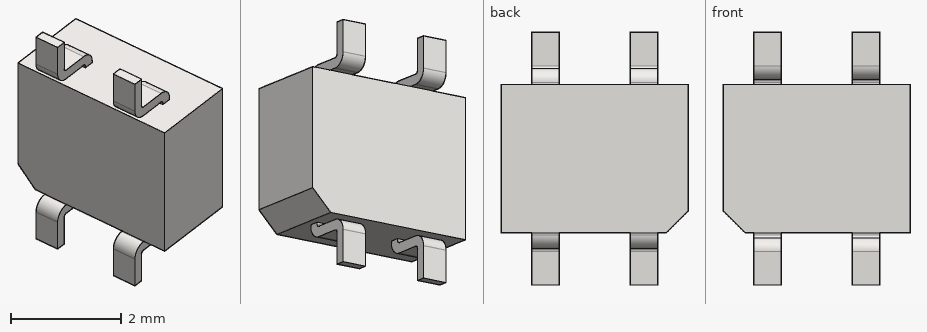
import cadquery as cq

overall_height = 4.6
overall_depth = 1.87

housing_width = 3.4
housing_depth = 1.7
housing_height = 2.7
bevel = 0.4

lead_width = 0.5
lead_thickness = 0.2
lead_pitch = 1.79
lead_reach = 1.015
lead_gap = 0.087
inner_bend_radius = 0.05
outer_bend_radius = inner_bend_radius + lead_thickness

half_height = housing_height / 2
foot_front = -overall_depth / 2
housing_front = foot_front + overall_depth - housing_depth
housing_back = housing_front + housing_depth
foot_back = foot_front + lead_thickness
stem_back = foot_front + lead_reach
stem_front = stem_back - lead_thickness
run_bottom = half_height + lead_gap
run_top = run_bottom + lead_thickness
foot_end = overall_height / 2


def make_housing():
    """Block with its lower -X corner cut off along Y."""
    block = cq.Workplane("XY").box(housing_width, housing_depth, housing_height)
    block = block.edges("|Y and <X and <Z").chamfer(bevel)
    return block.translate((0, (housing_front + housing_back) / 2, 0))


def make_upper_lead(center_x):
    """Strip rising from the housing, running forward and turning up into its foot."""
    return (
        cq.Workplane("YZ", origin=(center_x, 0, 0))
        .moveTo(stem_back, half_height)
        .lineTo(stem_back, run_top - outer_bend_radius)
        .radiusArc((stem_back - outer_bend_radius, run_top), -outer_bend_radius)
        .lineTo(foot_back + inner_bend_radius, run_top)
        .radiusArc((foot_back, run_top + inner_bend_radius), inner_bend_radius)
        .lineTo(foot_back, foot_end)
        .lineTo(foot_front, foot_end)
        .lineTo(foot_front, run_bottom + outer_bend_radius)
        .radiusArc((foot_front + outer_bend_radius, run_bottom), -outer_bend_radius)
        .lineTo(stem_front - inner_bend_radius, run_bottom)
        .radiusArc((stem_front, run_bottom - inner_bend_radius), inner_bend_radius)
        .lineTo(stem_front, half_height)
        .close()
        .extrude(lead_width / 2, both=True)
    )


housing = make_housing()

leads = []
for side in (-1, 1):
    upper_lead = make_upper_lead(side * lead_pitch / 2)
    lower_lead = upper_lead.mirror("XY")
    leads.append(upper_lead.val())
    leads.append(lower_lead.val())

result = cq.Compound.makeCompound([housing.val(), *leads])